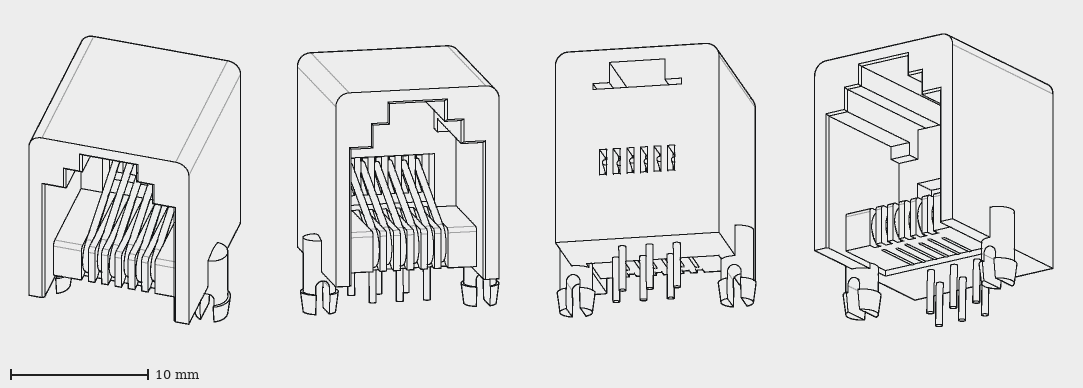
import cadquery as cq
import math


width = 12.2
depth = 13.0
height = 14.5
corner_radius = 1.0

tiers = [(4.93, 10.24), (3.3, 11.96), (2.06, 13.51)]
wide_half, wide_top = tiers[0]
middle_half = tiers[1][0]
mouth_chamfer = 0.16

shoulder_bottom = 9.25
shoulder_front = 8.19
rear_wall_front = 9.25
rear_wall_top = 11.52

tongue_front = 2.35
tongue_bottom = 0.43
tongue_top = 3.38
tongue_fillet = 0.32
floor_front = 7.48

recess_half = 3.31
recess_top = 7.37
recess_back = 11.04
contact_count = 6
contact_pitch = 1.01
slot_top = 6.89
ramp_front = 2.94
ramp_back_height = 4.98

wire_diameter = 0.52
slot_width = wire_diameter
hairpin_radius = 1.3
hairpin_y = 3.93
hairpin_z = 1.94
hairpin_setback = 0.35
arm_angle = math.radians(20.5)
arm_end_y = 11.66
pin_lean = 0.16
pin_rows = (10.9, 8.28)
overall_height = 17.8
pin_bottom = height - overall_height

peg_x = 6.0
peg_y = 6.02
peg_radius = 1.2
peg_top = 2.33
peg_cone_height = 0.21
barb_radius = 1.39
barb_top = -1.7
peg_bottom = -3.2
peg_slot_width = 1.01
peg_slot_top = -0.68


def block(half_width, y_range, z_range):
    """Box centred on X between two Y and two Z positions."""
    y0, y1 = y_range
    z0, z1 = z_range
    body = cq.Workplane("XY").box(2 * half_width, y1 - y0, z1 - z0, centered=(True, False, False))
    return body.translate((0, y0, z0))


def opening_outline(workplane, growth):
    """Stepped opening, open at the bottom, grown outwards by `growth`."""
    right_side = []
    floor = 0
    for half, ceiling in tiers:
        right_side += [(half + growth, floor), (half + growth, ceiling + growth)]
        floor = ceiling + growth
    left_side = [(-x, z) for x, z in reversed(right_side)]
    return workplane.polyline(right_side + left_side).close()


def make_shell():
    """Rounded outer block with the stepped opening and its chamfered mouth."""
    shell = block(width / 2, (0, depth), (0, height))
    shell = shell.edges("|Y and >Z").fillet(corner_radius)
    opening = opening_outline(cq.Workplane("XZ"), 0).extrude(-depth)
    mouth = opening_outline(cq.Workplane("XZ"), mouth_chamfer)
    mouth = opening_outline(mouth.workplane(offset=-mouth_chamfer), 0).loft(ruled=True)
    return shell.cut(opening).cut(mouth)


def make_interior():
    """Shoulders, rear wall, tongue and floor inside the opening."""
    rear_wall = block(wide_half, (rear_wall_front, depth), (0, rear_wall_top))
    shoulders = block(wide_half, (shoulder_front, depth), (shoulder_bottom, wide_top))
    shoulders = shoulders.cut(block(middle_half, (shoulder_front, depth), (shoulder_bottom, wide_top)))
    tongue = block(wide_half, (tongue_front, rear_wall_front), (tongue_bottom, tongue_top))
    tongue = tongue.edges("<Y and >Z").fillet(tongue_fillet)
    floor = block(wide_half, (floor_front, rear_wall_front), (0, tongue_bottom))
    return rear_wall.union(shoulders).union(tongue).union(floor)


def make_contact_slot(x):
    """Slot through tongue and rear wall; its floor ramps up towards the back."""
    profile = [
        (tongue_front, 0),
        (ramp_front, 0),
        (ramp_front, tongue_bottom),
        (depth, ramp_back_height),
        (depth, slot_top),
        (tongue_front, slot_top),
    ]
    slot = cq.Workplane("YZ").polyline(profile).close().extrude(slot_width / 2, both=True)
    return slot.translate((x, 0, 0))


def make_contact(x, pin_y, setback):
    """Round wire: pin, run along the floor, hairpin at the front, sloping spring arm."""
    centre_y = hairpin_y + setback

    def on_hairpin(angle):
        return (
            centre_y + hairpin_radius * math.cos(angle),
            hairpin_z + hairpin_radius * math.sin(angle),
        )

    arm_start = on_hairpin(math.pi / 2 + arm_angle)
    arm_end = (
        arm_end_y + setback,
        arm_start[1] + (arm_end_y + setback - arm_start[0]) * math.tan(arm_angle),
    )
    floor_z = hairpin_z - hairpin_radius
    pin_top_y = pin_y + pin_lean
    pin_middle = (pin_y + pin_lean / 4, (pin_bottom + floor_z) / 2)
    pin_path = (
        cq.Workplane("YZ", origin=(x, 0, 0))
        .moveTo(pin_y, pin_bottom)
        .threePointArc(pin_middle, (pin_top_y, floor_z))
    )
    pin = cq.Workplane("XY", origin=(x, pin_y, pin_bottom)).circle(wire_diameter / 2).sweep(pin_path)

    spring_path = (
        cq.Workplane("YZ", origin=(x, 0, 0))
        .moveTo(pin_top_y, floor_z)
        .lineTo(centre_y, floor_z)
        .threePointArc(on_hairpin(math.pi), arm_start)
        .lineTo(*arm_end)
    )
    spring_plane = cq.Workplane("XZ", origin=(x, pin_top_y, floor_z))
    spring = spring_plane.circle(wire_diameter / 2).sweep(spring_path)
    return pin.union(spring)


def make_peg(side):
    """Split snap-in peg with a conical top and a barbed, tapered tip."""
    profile = [
        (0, peg_bottom),
        (peg_radius, peg_bottom),
        (barb_radius, barb_top),
        (peg_radius, barb_top),
        (peg_radius, peg_top),
        (0, peg_top + peg_cone_height),
    ]
    peg = cq.Workplane("XZ").polyline(profile).close().revolve(360, (0, 0), (0, 1))
    arch_z = peg_slot_top - peg_slot_width / 2
    split = block(peg_slot_width / 2, (-barb_radius, barb_radius), (peg_bottom, arch_z))
    arch = cq.Workplane("XZ").center(0, arch_z).circle(peg_slot_width / 2).extrude(barb_radius, both=True)
    return peg.cut(split).cut(arch).translate((side * peg_x, peg_y, 0))


contact_xs = [(i - (contact_count - 1) / 2) * contact_pitch for i in range(contact_count)]

result = make_shell().union(make_interior())
result = result.cut(block(recess_half, (rear_wall_front, recess_back), (tongue_top, recess_top)))
for contact_x in contact_xs:
    result = result.cut(make_contact_slot(contact_x))

for i, contact_x in enumerate(contact_xs):
    row = i % 2
    result = result.union(make_contact(contact_x, pin_rows[row], row * hairpin_setback))

for side in (-1, 1):
    result = result.union(make_peg(side))